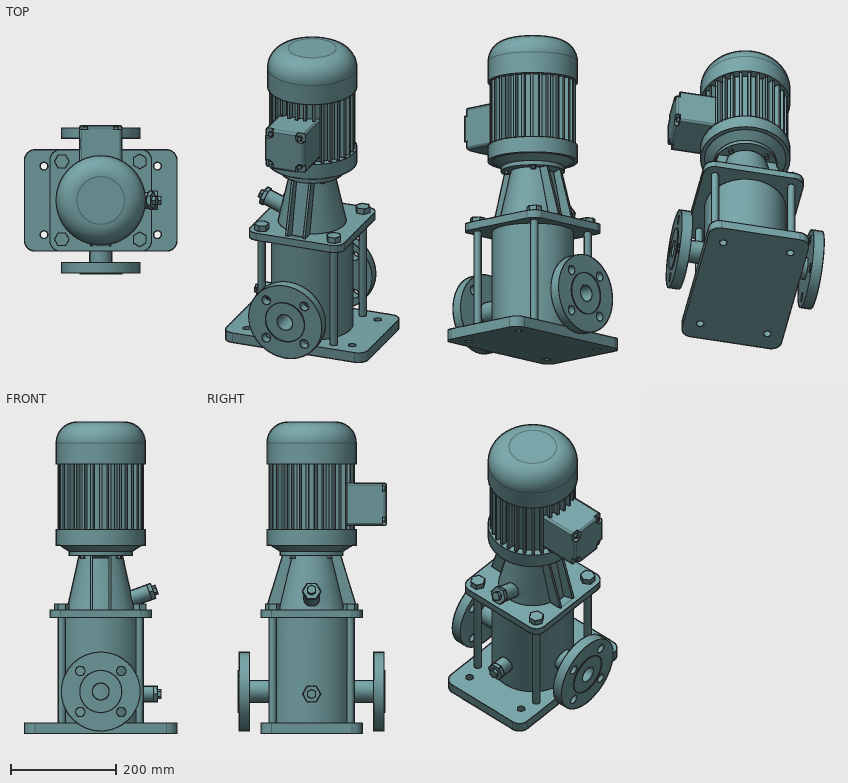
import cadquery as cq
import math

TOTAL_HEIGHT = 592.0

BASE_LENGTH = 290.0
PLATE_WIDTH = 193.0
CORNER_RADIUS = 20.0
BASE_THICKNESS = 20.0
BASE_HOLE_DIAMETER = 14.0
BASE_HOLE_X = 108.0
BASE_HOLE_Y = 65.0
HEAD_BOTTOM = 220.0
HEAD_TOP = 235.0
ROD_DIAMETER = 14.0
ROD_OFFSET = 74.0
ROD_BOLT_FLATS = 24.0
ROD_BOLT_HEIGHT = 11.0
BARREL_DIAMETER = 155.0

PORT_HEIGHT = 80.0
PORT_REACH = 140.0
RAISED_FACE_HEIGHT = 2.0
RAISED_FACE_DIAMETER = 80.0
FLANGE_THICKNESS = 20.0
FLANGE_DIAMETER = 150.0
FLANGE_HOLE_DIAMETER = 18.0
FLANGE_HOLE_CIRCLE = 110.0
PIPE_DIAMETER = 42.0
BORE_DIAMETER = 32.0

PLUG_DIAMETER = 30.0
DRAIN_NECK_LENGTH = 100.0
VENT_NECK_LENGTH = 98.0
PLUG_HEX_LENGTH = 7.5
PLUG_TIP_FLATS = 15.5
PLUG_TIP_LENGTH = 7.0
DRAIN_HEIGHT = 75.0
VENT_TILT = 20.0

LANTERN_ROOT_DIAMETER = 136.0
LANTERN_TOP_DIAMETER = 83.5
LANTERN_TOP = 338.0
RIB_WIDTH = 39.5
CHANNEL_WIDTH = 31.5
CHANNEL_DEPTH = 26.5
RIB_BOTTOM_REACH = 87.0
RIB_TOP_REACH = 55.5
MOTOR_BOLT_FLATS = 8.0
MOTOR_BOLT_HEIGHT = 5.5
MOTOR_BOLT_OFFSET = 35.0

SPIGOT_DIAMETER = 120.0
SPIGOT_TOP = 346.5
TAPER_TOP_DIAMETER = 155.0
RING_BOTTOM = 357.5
RING_TOP = 388.0
COWL_BOTTOM = 512.0
COWL_DIAMETER = 170.0
DOME_RADIUS = 39.5
CORE_DIAMETER = 142.0
FIN_TIP_DIAMETER = 162.0
FIN_THICKNESS = 5.05
FIN_COUNT = 30

BOX_SIZE = 80.5
BOX_CENTER_HEIGHT = 436.0
BOX_INNER_END = 53.0
BOX_OUTER_END = 142.0
BOX_EDGE_RADIUS = 4.0
SCREW_POCKET_RADIUS = 10.5
SCREW_POCKET_INSET = 7.0
SCREW_POCKET_DEPTH = 7.5
SCREW_HEAD_RADIUS = 4.0
SCREW_HEAD_INSET = 10.5
SCREW_HEAD_HEIGHT = 5.5

SIGNS = (-1, 1)
SQUARE_CORNERS = [(x, y) for x in SIGNS for y in SIGNS]


def cylinder(diameter, bottom, top):
    """Upright cylinder on the shaft axis."""
    return cq.Workplane("XY").workplane(offset=bottom).circle(diameter / 2).extrude(top - bottom)


def plate(length, bottom, top):
    """Horizontal plate with rounded corners."""
    return (
        cq.Workplane("XY")
        .workplane(offset=bottom)
        .rect(length, PLATE_WIDTH)
        .extrude(top - bottom)
        .edges("|Z")
        .fillet(CORNER_RADIUS)
    )


def hex_prism(flats, height, angle=0.0):
    """Hexagonal prism on Z = 0; at zero angle two corners point along X."""
    corners_diameter = flats / math.cos(math.pi / 6)
    prism = cq.Workplane("XY").polygon(6, corners_diameter).extrude(height)
    return prism.rotate((0, 0, 0), (0, 0, 1), angle)


def make_stack():
    """Base plate, barrel, head plate, tie rods and their bolt heads."""
    base_holes = [(x * BASE_HOLE_X, y * BASE_HOLE_Y) for x, y in SQUARE_CORNERS]
    rods = [(x * ROD_OFFSET, y * ROD_OFFSET) for x, y in SQUARE_CORNERS]
    base = (
        plate(BASE_LENGTH, 0, BASE_THICKNESS)
        .faces(">Z")
        .workplane(origin=(0, 0, 0))
        .pushPoints(base_holes)
        .hole(BASE_HOLE_DIAMETER)
    )
    stack = base.union(plate(PLATE_WIDTH, HEAD_BOTTOM, HEAD_TOP))
    stack = stack.union(cylinder(BARREL_DIAMETER, 0, HEAD_TOP))
    for x, y in rods:
        rod = cylinder(ROD_DIAMETER, 0, HEAD_TOP).translate((x, y, 0))
        turn = 90.0 if x > 0 else 0.0
        head = hex_prism(ROD_BOLT_FLATS, ROD_BOLT_HEIGHT, turn).translate((x, y, HEAD_TOP))
        stack = stack.union(rod).union(head)
    return stack


def make_ports():
    """Two opposite flanged pipes whose bores end at the barrel wall."""
    face = PORT_REACH - RAISED_FACE_HEIGHT
    port = cylinder(PIPE_DIAMETER, 0, PORT_REACH)
    port = port.union(cylinder(FLANGE_DIAMETER, face - FLANGE_THICKNESS, face))
    port = port.union(cylinder(RAISED_FACE_DIAMETER, face, PORT_REACH))
    port = port.cut(cylinder(BORE_DIAMETER, 0, PORT_REACH))
    hole_offset = FLANGE_HOLE_CIRCLE / 2 * math.sqrt(0.5)
    for x, y in SQUARE_CORNERS:
        hole = cylinder(FLANGE_HOLE_DIAMETER, 0, PORT_REACH)
        port = port.cut(hole.translate((x * hole_offset, y * hole_offset, 0)))
    port = port.rotate((0, 0, 0), (1, 0, 0), 90).translate((0, 0, PORT_HEIGHT))
    return port.union(port.mirror("XZ"))


def make_plug(height, tilt, neck_length):
    """Plug pointing along +X, raised by the tilt angle, from the shaft axis at a height."""
    neck = cylinder(PLUG_DIAMETER, 0, neck_length)
    collar = hex_prism(PLUG_DIAMETER, PLUG_HEX_LENGTH, 90).translate((0, 0, neck_length))
    tip_start = neck_length + PLUG_HEX_LENGTH
    tip = hex_prism(PLUG_TIP_FLATS, PLUG_TIP_LENGTH).translate((0, 0, tip_start))
    plug = neck.union(collar).union(tip)
    return plug.rotate((0, 0, 0), (0, 1, 0), 90 - tilt).translate((0, 0, height))


def make_ribs():
    """Sloping rib blocks on the front and back of the lantern, joined through the shaft axis."""
    profile = [
        (-RIB_BOTTOM_REACH, HEAD_TOP),
        (RIB_BOTTOM_REACH, HEAD_TOP),
        (RIB_TOP_REACH, LANTERN_TOP),
        (-RIB_TOP_REACH, LANTERN_TOP),
    ]
    return cq.Workplane("YZ").polyline(profile).close().extrude(RIB_WIDTH / 2, both=True)


def make_channels():
    """Cutters that split each rib block in two; their ends are square to the sloping rib face."""
    slope = math.atan2(RIB_BOTTOM_REACH - RIB_TOP_REACH, LANTERN_TOP - HEAD_TOP)
    inward = CHANNEL_DEPTH * math.cos(slope)
    downward = CHANNEL_DEPTH * math.sin(slope)
    profile = [
        (RIB_BOTTOM_REACH, HEAD_TOP),
        (RIB_TOP_REACH, LANTERN_TOP),
        (RIB_TOP_REACH - inward, LANTERN_TOP - downward),
        (RIB_BOTTOM_REACH - inward, HEAD_TOP - downward),
    ]
    channel = cq.Workplane("YZ").polyline(profile).close().extrude(CHANNEL_WIDTH / 2, both=True)
    return channel.union(channel.mirror("XZ"))


def make_lantern():
    """Tapered lantern rooted in the head plate, with the motor bolt heads below its top."""
    lantern = (
        cq.Workplane("XY")
        .workplane(offset=HEAD_BOTTOM)
        .circle(LANTERN_ROOT_DIAMETER / 2)
        .workplane(offset=LANTERN_TOP - HEAD_BOTTOM)
        .circle(LANTERN_TOP_DIAMETER / 2)
        .loft()
    )
    for x, y in SQUARE_CORNERS:
        bolt = hex_prism(MOTOR_BOLT_FLATS, MOTOR_BOLT_HEIGHT)
        bolt_place = (x * MOTOR_BOLT_OFFSET, y * MOTOR_BOLT_OFFSET, LANTERN_TOP - MOTOR_BOLT_HEIGHT)
        lantern = lantern.union(bolt.translate(bolt_place))
    return lantern


def make_motor():
    """Turned motor housing with a domed cowl and vertical cooling fins."""
    cowl_radius = COWL_DIAMETER / 2
    dome_base = TOTAL_HEIGHT - DOME_RADIUS
    flat_radius = cowl_radius - DOME_RADIUS
    arc_middle = DOME_RADIUS * math.sqrt(0.5)
    motor = (
        cq.Workplane("XZ")
        .moveTo(0, LANTERN_TOP)
        .lineTo(SPIGOT_DIAMETER / 2, LANTERN_TOP)
        .lineTo(SPIGOT_DIAMETER / 2, SPIGOT_TOP)
        .lineTo(TAPER_TOP_DIAMETER / 2, RING_BOTTOM)
        .lineTo(cowl_radius, RING_BOTTOM)
        .lineTo(cowl_radius, RING_TOP)
        .lineTo(CORE_DIAMETER / 2, RING_TOP)
        .lineTo(CORE_DIAMETER / 2, COWL_BOTTOM)
        .lineTo(cowl_radius, COWL_BOTTOM)
        .lineTo(cowl_radius, dome_base)
        .threePointArc((flat_radius + arc_middle, dome_base + arc_middle), (flat_radius, TOTAL_HEIGHT))
        .lineTo(0, TOTAL_HEIGHT)
        .close()
        .revolve(360, (0, 0, 0), (0, 1, 0))
    )
    fin_pair = (
        cq.Workplane("XY")
        .workplane(offset=RING_TOP)
        .rect(FIN_THICKNESS, FIN_TIP_DIAMETER)
        .extrude(COWL_BOTTOM - RING_TOP)
    )
    for index in range(FIN_COUNT // 2):
        motor = motor.union(fin_pair.rotate((0, 0, 0), (0, 0, 1), index * 360 / FIN_COUNT))
    return motor


def corner_pins(inset, radius, length):
    """Four round pins, one per box corner, standing from the XZ plane along -Y."""
    spacing = BOX_SIZE - 2 * inset
    return cq.Workplane("XZ").rarray(spacing, spacing, 2, 2).circle(radius).extrude(length)


def make_terminal_box():
    """Terminal box with rounded edges and a screw in an open pocket at each outer corner."""
    box = (
        cq.Workplane("XZ")
        .rect(BOX_SIZE, BOX_SIZE)
        .extrude(BOX_OUTER_END - BOX_INNER_END)
        .edges("|Y or >Y")
        .fillet(BOX_EDGE_RADIUS)
    )
    box = box.cut(corner_pins(SCREW_POCKET_INSET, SCREW_POCKET_RADIUS, SCREW_POCKET_DEPTH))
    screws = corner_pins(SCREW_HEAD_INSET, SCREW_HEAD_RADIUS, SCREW_HEAD_HEIGHT)
    screws = screws.translate((0, SCREW_HEAD_HEIGHT - SCREW_POCKET_DEPTH, 0))
    return box.union(screws).translate((0, BOX_OUTER_END, BOX_CENTER_HEIGHT))


result = (
    make_ports()
    .union(make_stack())
    .union(make_ribs())
    .cut(make_channels())
    .union(make_lantern())
    .union(make_plug(DRAIN_HEIGHT, 0, DRAIN_NECK_LENGTH))
    .union(make_plug(HEAD_TOP, VENT_TILT, VENT_NECK_LENGTH))
    .union(make_motor())
    .union(make_terminal_box())
)